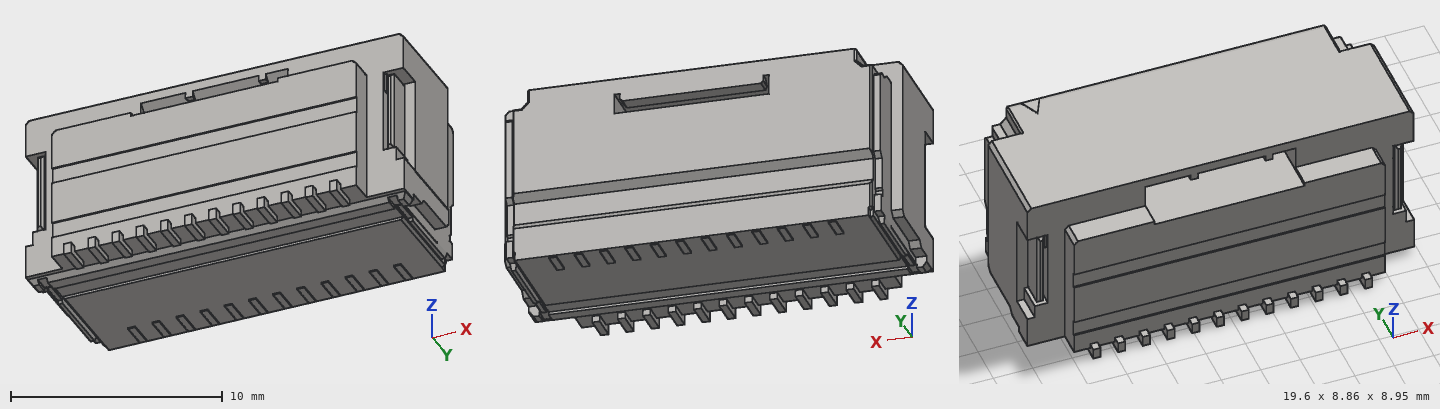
import cadquery as cq


HOUSING_HALF = 9.78
HOUSING_DEPTH = 5.15
HOUSING_BOTTOM = 0.31
HEIGHT = 8.95
EDGE_CHAMFER = 0.2
SKIRT_THICKNESS = 0.04

REAR_Y = 7.23
REAR_HALF = 8.84
REAR_TOP_HALF = 8.0
GROOVE_TOP = 8.31
GROOVE_BEVEL = 0.1
SHOULDER_TOP = 8.0
REAR_EDGE_BEVEL = 0.1
TOP_BEVEL_DEPTH = 0.24
TOP_BEVEL_DROP = 0.05
REAR_CORNER_X = 0.08
REAR_CORNER_Y = 0.2
UNDERCUT_TOP = 0.59
UNDERCUT_DEPTH = 0.14
NOTCH_DEPTH = 0.37
NOTCH_Z = (1.72, 3.57)

SHROUD_HALF = 7.88
SHROUD_DEPTH = 1.2
SHROUD_TOP = 7.27
GROOVE_DEPTH = 0.08
GROOVE_BANDS = ((1.37, 2.2), (4.4, 5.21))

WINDOW_HALF = 3.8
WINDOW_BOTTOM = 7.1
WINDOW_CEILING = 8.1
WINDOW_TOP = 8.47
RAMP_DEPTH = 0.4
RIB_X = (-1.31, 2.47)
RIB_WIDTH = 0.37
RIB_BOTTOM = 8.17
HOOK_HALF = 3.53
HOOK_BOTTOM = 7.7
HOOK_BASE = 0.4
HOOK_CORNER = 0.12

POCKET_INNER = 8.75
POCKET_DEPTH = 1.37
POCKET_Z = (2.72, 7.02)
SLOT_INNER = 9.4
SLOT_BOTTOM = 2.02
STEP_OUTER = 8.84
STEP_BOTTOM = 6.1
PLATE_INNER = 8.9
PLATE_OUTER = 9.23
PLATE_BOTTOM = 0.2
BEND_Z = 0.4
PLATE_LEDGE = 0.6
PLATE_TOP = 7.88
PLATE_TOP_Y = 5.92
PLATE_SHELF_Z = 7.65
PLATE_SHELF_Y = (6.3, 6.82)
PLATE_REAR = 7.02
PLATE_REAR_CORNER = 0.18
PLATE_HEEL = 6.9
PLATE_HEEL_TOP = 1.25
PLATE_NECK = 6.75
PLATE_NECK_Z = 3.21
PLATE_NICK = 6.62
PLATE_NICK_Z = (1.57, 1.67)
RELIEF_TOP = 0.92
RELIEF_CORNER = 0.27
RELIEF_RAMP_Y = (2.02, 2.3)
PLATE_FRONT = 1.12
BLADE_Z = (2.78, 6.92)
BLADE_TIP = 0.18
BLADE_TAPER_X = 0.1
BLADE_TAPER_Z = 0.18
FOOT_Y = (2.37, 6.3)
FOOT_TAPER = 0.12
FOOT_BOTTOM_X = (8.98, 9.17)

BASE_BOTTOM = 0.05
BASE_FRONT = 0.24
BASE_SLOPE = 0.25
BASE_SIDE_SLOPE = 0.2
CHANNEL_BACK = 2.14
CHANNEL_TOP = 0.2
CORE_BEVEL = 0.14
FOOT_GAP_HALF = 9.3
FOOT_GAP_TOP = 0.24

CONTACT_COUNT = 12
CONTACT_ROW = 13.75
CONTACT_PITCH = CONTACT_ROW / (CONTACT_COUNT - 1)
CONTACT_WIDTH = 0.37
CONTACT_FRONT = -1.63
CONTACT_BACK = -0.14
CONTACT_TOP = 0.57
REAR_PAD_Y = (5.76, 7.13)

MARK_X = -6.86
MARK_HALF = 0.49
MARK_LENGTH = 1.02


def box(x0, x1, y0, y1, z0, z1):
    return cq.Workplane("XY").box(x1 - x0, y1 - y0, z1 - z0, centered=False).translate((x0, y0, z0))


def side_profile(points, x0, x1):
    """Extrude a (y, z) outline from x0 to x1."""
    return cq.Workplane("YZ").workplane(offset=x0).polyline(points).close().extrude(x1 - x0)


def front_profile(points, y0, y1):
    """Extrude an (x, z) outline from y0 to y1."""
    return cq.Workplane("XZ").workplane(offset=-y0).polyline(points).close().extrude(y0 - y1)


def mirrored(half_outline):
    """Close a right-hand outline with its mirror image in X = 0."""
    return half_outline + [(-x, z) for x, z in reversed(half_outline)]


def both_sides(solid):
    return solid.union(solid.mirror("YZ"))


def chamfered_block(half, y0, y1, z0, z1):
    outline = [(half, z0), (half, z1 - EDGE_CHAMFER), (half - EDGE_CHAMFER, z1)]
    return front_profile(mirrored(outline), y0, y1)


def housing():
    block = chamfered_block(HOUSING_HALF, 0, HOUSING_DEPTH, HOUSING_BOTTOM, HEIGHT)
    outside = HOUSING_HALF + SKIRT_THICKNESS
    skirt = box(HOUSING_HALF, outside, 0, HOUSING_DEPTH, HOUSING_BOTTOM, SLOT_BOTTOM)
    ramp_front, ramp_back = RELIEF_RAMP_Y
    relief = side_profile(
        [(HOUSING_DEPTH, RELIEF_TOP + RELIEF_CORNER), (HOUSING_DEPTH - RELIEF_CORNER, RELIEF_TOP),
         (ramp_back, RELIEF_TOP), (ramp_front, PLATE_LEDGE), (PLATE_FRONT, PLATE_LEDGE),
         (PLATE_FRONT, 0), (HOUSING_DEPTH, 0)],
        PLATE_OUTER, outside)
    pocket = box(POCKET_INNER, outside, 0, POCKET_DEPTH, *POCKET_Z)
    slot = box(SLOT_INNER, outside, 0, POCKET_DEPTH, SLOT_BOTTOM, POCKET_Z[0])
    step = box(POCKET_INNER, STEP_OUTER, BLADE_TIP, POCKET_DEPTH, STEP_BOTTOM, POCKET_Z[1])
    cuts = both_sides(relief.union(pocket).union(slot).cut(step))
    return block.union(skirt).cut(cuts)


def rear_section():
    outline = [(REAR_HALF - CORE_BEVEL, BASE_BOTTOM), (REAR_HALF, BASE_BOTTOM + CORE_BEVEL)]
    wall = REAR_TOP_HALF + GROOVE_BEVEL
    outline += [(REAR_HALF, SHOULDER_TOP), (wall + GROOVE_TOP - SHOULDER_TOP, SHOULDER_TOP)]
    outline += [(wall, GROOVE_TOP), (wall, HEIGHT - GROOVE_BEVEL)]
    outline += [(REAR_TOP_HALF, HEIGHT)]
    block = front_profile(mirrored(outline), HOUSING_DEPTH, REAR_Y)
    groove_edges = cq.selectors.BoxSelector(
        (-REAR_HALF, REAR_Y - REAR_EDGE_BEVEL, SHOULDER_TOP - REAR_EDGE_BEVEL),
        (REAR_HALF, REAR_Y + REAR_EDGE_BEVEL, HEIGHT - GROOVE_BEVEL))
    block = block.faces(">Y").edges(groove_edges).chamfer(REAR_EDGE_BEVEL)
    bevel = side_profile(
        [(REAR_Y - TOP_BEVEL_DEPTH, HEIGHT), (REAR_Y, HEIGHT), (REAR_Y, HEIGHT - TOP_BEVEL_DROP)],
        -REAR_HALF, REAR_HALF)
    corner = (
        cq.Workplane("XY")
        .polyline([(REAR_HALF, REAR_Y - REAR_CORNER_Y), (REAR_HALF, REAR_Y),
                   (REAR_HALF - REAR_CORNER_X, REAR_Y)])
        .close().extrude(HEIGHT)
    )
    undercut_x = REAR_HALF - UNDERCUT_DEPTH
    undercut = front_profile(
        [(REAR_HALF, BASE_BOTTOM), (REAR_HALF, UNDERCUT_TOP),
         (undercut_x, UNDERCUT_TOP - UNDERCUT_DEPTH), (undercut_x, BASE_BOTTOM)],
        PLATE_HEEL, REAR_Y)
    low, high = NOTCH_Z
    floor = REAR_Y - NOTCH_DEPTH
    notch = side_profile(
        [(REAR_Y, low), (floor, low + NOTCH_DEPTH), (floor, high - NOTCH_DEPTH), (REAR_Y, high)],
        -REAR_HALF, REAR_HALF)
    return block.cut(bevel).cut(both_sides(corner.union(undercut))).cut(notch)


def base():
    """Front bar across the full width, then a channel, then the bevelled core below the housing."""
    bar_outline = [(HOUSING_HALF - BASE_SIDE_SLOPE, BASE_BOTTOM), (HOUSING_HALF, HOUSING_BOTTOM)]
    bar = front_profile(mirrored(bar_outline), BASE_FRONT, PLATE_FRONT)
    front_wedge = side_profile(
        [(BASE_FRONT, HOUSING_BOTTOM), (BASE_FRONT, BASE_BOTTOM), (BASE_FRONT + BASE_SLOPE, BASE_BOTTOM)],
        -HOUSING_HALF, HOUSING_HALF)
    gap = box(REAR_HALF, FOOT_GAP_HALF, BASE_FRONT, PLATE_FRONT, BASE_BOTTOM, FOOT_GAP_TOP)
    core_outline = [(REAR_HALF - CORE_BEVEL, BASE_BOTTOM), (REAR_HALF, BASE_BOTTOM + CORE_BEVEL)]
    core_outline += [(REAR_HALF, HOUSING_BOTTOM)]
    core = front_profile(mirrored(core_outline), PLATE_FRONT, HOUSING_DEPTH)
    channel = box(-REAR_HALF, REAR_HALF, PLATE_FRONT, CHANNEL_BACK, BASE_BOTTOM, CHANNEL_TOP)
    return bar.cut(front_wedge).cut(both_sides(gap)).union(core.cut(channel))


def shroud():
    block = chamfered_block(SHROUD_HALF, -SHROUD_DEPTH, 0, HOUSING_BOTTOM, SHROUD_TOP)
    for low, high in GROOVE_BANDS:
        groove = box(-SHROUD_HALF, SHROUD_HALF, -SHROUD_DEPTH, GROOVE_DEPTH - SHROUD_DEPTH, low, high)
        block = block.cut(groove)
    return block


def latch_passage():
    """Volume removed for the latch: open through the shroud, the housing and the rear section."""
    passage = side_profile(
        [(-SHROUD_DEPTH, WINDOW_BOTTOM), (REAR_Y, WINDOW_BOTTOM), (REAR_Y, WINDOW_CEILING),
         (RAMP_DEPTH, WINDOW_CEILING), (0, WINDOW_TOP), (-SHROUD_DEPTH, WINDOW_TOP)],
        -WINDOW_HALF, WINDOW_HALF)
    for x in RIB_X:
        rib = box(x - RIB_WIDTH / 2, x + RIB_WIDTH / 2, 0, RAMP_DEPTH, RIB_BOTTOM, WINDOW_TOP)
        passage = passage.cut(rib)
    return passage


def latch_hook():
    drop = WINDOW_CEILING - HOOK_BOTTOM
    top_front = REAR_Y - HOOK_BASE
    ramp = side_profile(
        [(top_front, WINDOW_CEILING), (top_front - drop, HOOK_BOTTOM),
         (REAR_Y, HOOK_BOTTOM), (REAR_Y, WINDOW_CEILING)],
        -HOOK_HALF, HOOK_HALF)
    outline = [(HOOK_HALF - HOOK_CORNER, HOOK_BOTTOM), (HOOK_HALF, HOOK_BOTTOM + HOOK_CORNER)]
    outline += [(HOOK_HALF, WINDOW_CEILING)]
    return ramp.intersect(front_profile(mirrored(outline), HOUSING_DEPTH, REAR_Y))


def hold_down_plate():
    """Metal plate on the +X side: rear panel, front blade in the pocket, and solder foot."""
    foot_low, foot_high = FOOT_Y
    nick_low, nick_high = PLATE_NICK_Z
    shelf_front, shelf_back = PLATE_SHELF_Y
    outline = side_profile(
        [(PLATE_FRONT, PLATE_BOTTOM), (foot_low, PLATE_BOTTOM), (foot_low + FOOT_TAPER, BASE_BOTTOM),
         (foot_high - FOOT_TAPER, BASE_BOTTOM), (foot_high, BEND_Z), (PLATE_HEEL, BEND_Z),
         (PLATE_HEEL, PLATE_HEEL_TOP), (PLATE_NICK, PLATE_HEEL_TOP), (PLATE_NICK, nick_low),
         (PLATE_NECK, nick_high), (PLATE_NECK, PLATE_NECK_Z),
         (PLATE_REAR, PLATE_NECK_Z + PLATE_REAR - PLATE_NECK),
         (PLATE_REAR, PLATE_SHELF_Z - PLATE_REAR_CORNER),
         (shelf_back, PLATE_SHELF_Z), (shelf_front, PLATE_SHELF_Z),
         (PLATE_TOP_Y, PLATE_TOP), (HOUSING_DEPTH, PLATE_TOP), (HOUSING_DEPTH, PLATE_LEDGE),
         (PLATE_FRONT, PLATE_LEDGE)],
        PLATE_INNER, PLATE_OUTER)
    foot_inner, foot_outer = FOOT_BOTTOM_X
    section = front_profile(
        [(foot_inner, BASE_BOTTOM), (foot_outer, BASE_BOTTOM), (PLATE_OUTER, BEND_Z),
         (PLATE_OUTER, HEIGHT), (PLATE_INNER, HEIGHT), (PLATE_INNER, BEND_Z)],
        0, REAR_Y)
    return outline.intersect(section).union(pocket_blade())


def pocket_blade():
    """Front edge of the plate inside the pocket, tapered on all four sides."""
    low, high = BLADE_Z
    side = side_profile(
        [(POCKET_DEPTH, low), (BLADE_TIP, low), (0, low + BLADE_TAPER_Z),
         (0, high - BLADE_TAPER_Z), (BLADE_TIP, high), (POCKET_DEPTH, high)],
        PLATE_INNER, PLATE_OUTER)
    plan = (
        cq.Workplane("XY")
        .polyline([(PLATE_INNER, POCKET_DEPTH), (PLATE_INNER, BLADE_TIP), (PLATE_INNER + BLADE_TAPER_X, 0),
                   (PLATE_OUTER - BLADE_TAPER_X, 0), (PLATE_OUTER, BLADE_TIP), (PLATE_OUTER, POCKET_DEPTH)])
        .close().extrude(HEIGHT)
    )
    return side.intersect(plan)


def contact(x):
    tail = side_profile(
        [(CONTACT_BACK, 0), (CONTACT_FRONT, 0), (CONTACT_FRONT, CONTACT_TOP), (-SHROUD_DEPTH, CONTACT_TOP),
         (-SHROUD_DEPTH, HOUSING_BOTTOM), (CONTACT_BACK, HOUSING_BOTTOM)],
        x - CONTACT_WIDTH / 2, x + CONTACT_WIDTH / 2)
    rear_pad = box(x - CONTACT_WIDTH / 2, x + CONTACT_WIDTH / 2, *REAR_PAD_Y, 0, BASE_BOTTOM)
    return tail.union(rear_pad)


def pin_one_mark():
    corners = [(MARK_X - MARK_HALF, REAR_Y), (MARK_X + MARK_HALF, REAR_Y), (MARK_X, REAR_Y - MARK_LENGTH)]
    return cq.Workplane("XY").workplane(offset=HEIGHT).polyline(corners).close().extrude(-TOP_BEVEL_DROP)


result = housing().union(rear_section()).union(base()).union(shroud())
result = result.cut(latch_passage()).union(latch_hook())
result = result.union(both_sides(hold_down_plate())).cut(pin_one_mark())
for index in range(CONTACT_COUNT):
    result = result.union(contact(index * CONTACT_PITCH - CONTACT_ROW / 2))